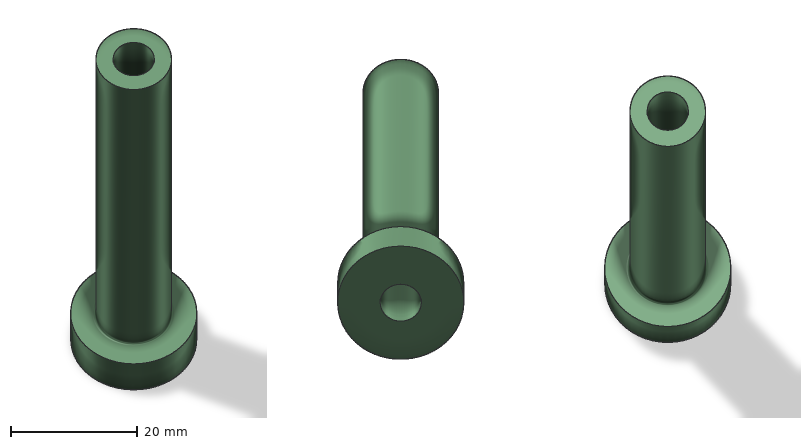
import cadquery as cq

total_length = 75.0
head_diameter = 20.0
head_height = 7.0
shank_diameter = 12.0
bore_diameter = 6.5
neck_fillet = 0.5

bore_radius = bore_diameter / 2
shank_radius = shank_diameter / 2
head_radius = head_diameter / 2

half_section = (
    cq.Workplane("XZ")
    .moveTo(bore_radius, 0)
    .lineTo(head_radius, 0)
    .lineTo(head_radius, head_height)
    .lineTo(shank_radius + neck_fillet, head_height)
    .radiusArc((shank_radius, head_height + neck_fillet), neck_fillet)
    .lineTo(shank_radius, total_length)
    .lineTo(bore_radius, total_length)
    .close()
)

result = half_section.revolve(360, (0, 0, 0), (0, 1, 0))